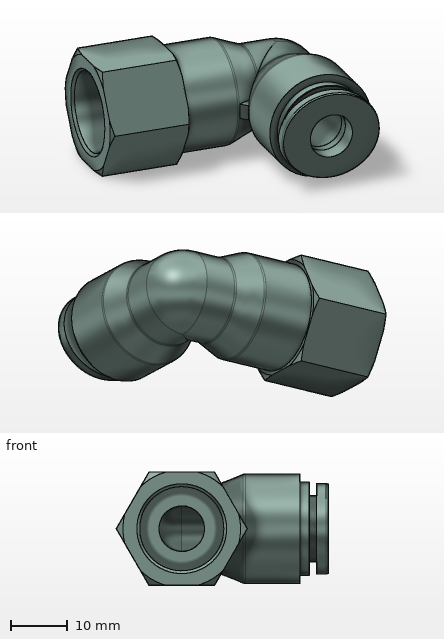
import cadquery as cq
import math

OVERALL_LENGTH = 45.45
OVERALL_WIDTH = 37.35

BARREL_RADIUS = 19.3 / 2
WAIST_RADIUS = 15.4 / 2
CONE_START = 6.0
CONE_END = 11.0
BLEND_RADIUS = 1.0
PASSAGE_RADIUS = 8.0 / 2
WEB_THICKNESS = 2.73
WEB_CORNER_OFFSET = 10.75

NUT_SIDES = 6
NUT_ACROSS_FLATS = 20.0
NUT_LENGTH = 15.0
NUT_BORE_RADIUS = 14.8 / 2
NUT_FACE_RADIUS = 20.73 / 2
NUT_CHAMFER_ANGLE = 20.0
NUT_BORE_CHAMFER = 0.5
NUT_ACROSS_CORNERS = NUT_ACROSS_FLATS / math.cos(math.pi / NUT_SIDES)

COLLAR_RADIUS = 16.5 / 2
COLLAR_LENGTH = 1.73
COLLAR_CHAMFER = 0.15

NECK_RADIUS = 11.7 / 2
FLANGE_SIZE_Y = 18.5
FLANGE_SIZE_Z = 16.0
FLANGE_THICKNESS = 2.05
FLANGE_EDGE_LENGTH = 0.4
FLANGE_EDGE_STEP = 0.15

NUT_END = OVERALL_LENGTH - BARREL_RADIUS
ARM_LENGTH = NUT_END - NUT_LENGTH
COLLAR_END = ARM_LENGTH + COLLAR_LENGTH
SLEEVE_END = OVERALL_WIDTH - NUT_ACROSS_CORNERS / 2
FLANGE_START = SLEEVE_END - FLANGE_THICKNESS


def cylinder_x(radius, start, end):
    """Cylinder on the X axis between two X positions."""
    return cq.Workplane("YZ", origin=(start, 0, 0)).circle(radius).extrude(end - start)


def to_nut_arm(shape):
    """Turn a shape lying along +X so that it lies along -Y."""
    return shape.rotate((0, 0, 0), (0, 0, 1), -90)


def make_arm():
    """Stepped arm along +X: waist, cone and barrel, with the cone edges blended."""
    arm = (
        cq.Workplane("XY")
        .polyline([
            (0, 0),
            (0, WAIST_RADIUS),
            (CONE_START, WAIST_RADIUS),
            (CONE_END, BARREL_RADIUS),
            (ARM_LENGTH, BARREL_RADIUS),
            (ARM_LENGTH, 0),
        ])
        .close()
        .revolve(360, (0, 0, 0), (1, 0, 0))
    )
    return arm.edges("%CIRCLE and (not <X) and (not >X)").fillet(BLEND_RADIUS)


def make_web():
    """Flat web that bridges the inner corner between the two cones."""
    return (
        cq.Workplane("XY")
        .polyline([
            (CONE_START, -CONE_START),
            (WEB_CORNER_OFFSET, -BARREL_RADIUS),
            (BARREL_RADIUS, -WEB_CORNER_OFFSET),
        ])
        .close()
        .extrude(WEB_THICKNESS / 2, both=True)
    )


def make_elbow():
    """Two equal arms joined by a ball corner, with a web and an L-shaped passage."""
    arm = make_arm()
    passage = cylinder_x(PASSAGE_RADIUS, 0, ARM_LENGTH)
    return (
        arm.union(to_nut_arm(arm))
        .union(cq.Workplane("XY").sphere(WAIST_RADIUS))
        .union(make_web())
        .cut(passage)
        .cut(to_nut_arm(passage))
        .cut(cq.Workplane("XY").sphere(PASSAGE_RADIUS))
    )


def make_nut():
    """Hexagon nut along -Y with turned corners at both ends and a through bore."""
    corner_radius = NUT_ACROSS_CORNERS / 2
    corner_drop = (corner_radius - NUT_FACE_RADIUS) * math.tan(math.radians(NUT_CHAMFER_ANGLE))
    hexagon = (
        cq.Workplane("XZ", origin=(0, -ARM_LENGTH, 0))
        .polygon(NUT_SIDES, NUT_ACROSS_CORNERS)
        .extrude(NUT_LENGTH)
    )
    turned_blank = (
        cq.Workplane("XY")
        .polyline([
            (0, -ARM_LENGTH),
            (NUT_FACE_RADIUS, -ARM_LENGTH),
            (corner_radius, -ARM_LENGTH - corner_drop),
            (corner_radius, -NUT_END + corner_drop),
            (NUT_FACE_RADIUS, -NUT_END),
            (0, -NUT_END),
        ])
        .close()
        .revolve(360, (0, 0, 0), (0, 1, 0))
    )
    bore = to_nut_arm(cylinder_x(NUT_BORE_RADIUS, ARM_LENGTH, NUT_END))
    nut = hexagon.intersect(turned_blank).cut(bore)
    bore_mouth = nut.faces("<Y").edges("%CIRCLE").edges(cq.selectors.RadiusNthSelector(0))
    return bore_mouth.chamfer(NUT_BORE_CHAMFER)


def make_collar():
    """Ring on the end of the tube arm, chamfered on its outer rim."""
    return (
        cylinder_x(COLLAR_RADIUS, ARM_LENGTH, COLLAR_END)
        .faces(">X")
        .chamfer(COLLAR_CHAMFER)
        .cut(cylinder_x(PASSAGE_RADIUS, ARM_LENGTH, COLLAR_END))
    )


def make_sleeve():
    """Round neck carrying an oval flange whose outer edge is bevelled."""
    flange = (
        cq.Workplane("YZ", origin=(FLANGE_START, 0, 0))
        .ellipse(FLANGE_SIZE_Y / 2, FLANGE_SIZE_Z / 2)
        .extrude(FLANGE_THICKNESS)
        .faces(">X")
        .chamfer(FLANGE_EDGE_LENGTH, FLANGE_EDGE_STEP)
    )
    return (
        cylinder_x(NECK_RADIUS, COLLAR_END, FLANGE_START)
        .union(flange)
        .cut(cylinder_x(PASSAGE_RADIUS, COLLAR_END, SLEEVE_END))
    )


elbow = make_elbow()
nut = make_nut()
collar = make_collar()
sleeve = make_sleeve()

result = cq.Compound.makeCompound([elbow.val(), nut.val(), collar.val(), sleeve.val()])